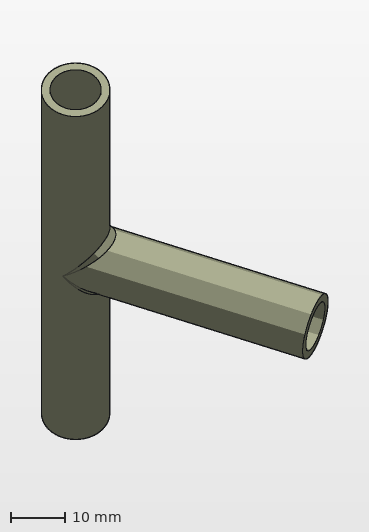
import cadquery as cq

run_length = 95.2
outer_diameter = 12.7
wall = 1.6
branch_reach = 47.6
weld_leg = 1.2

outer_radius = outer_diameter / 2
bore_radius = outer_radius - wall


def run_rod(radius):
    """Vertical rod along Z, centred on the joint."""
    return cq.Workplane("XY").circle(radius).extrude(run_length / 2, both=True)


def branch_rod(radius):
    """Horizontal rod from the run axis out along +X."""
    return cq.Workplane("YZ").circle(radius).extrude(branch_reach)


def upper_weld():
    """Bevelled weld above the branch, tapering to nothing at the sides.

    An elliptical rod along the bevel, kept only inside a wedge whose legs
    end on the run and on the branch.
    """
    leg_end = outer_radius + weld_leg
    bevel_depth = (outer_radius + leg_end) / 2 ** 0.5
    bevel_plane = cq.Plane(origin=(0, 0, 0), xDir=(0, 1, 0), normal=(1, 0, -1))
    bevel = (
        cq.Workplane(bevel_plane)
        .workplane(offset=-outer_diameter)
        .ellipse(outer_radius, bevel_depth)
        .extrude(2 * outer_diameter)
    )
    wedge = (
        cq.Workplane("XZ")
        .polyline([(0, 0), (outer_radius, leg_end), (leg_end, outer_radius)])
        .close()
        .extrude(outer_diameter, both=True)
    )
    return bevel.intersect(wedge)


weld = upper_weld()
body = run_rod(outer_radius).union(branch_rod(outer_radius))
body = body.union(weld).union(weld.mirror("XY"))

result = body.cut(run_rod(bore_radius)).cut(branch_rod(bore_radius))